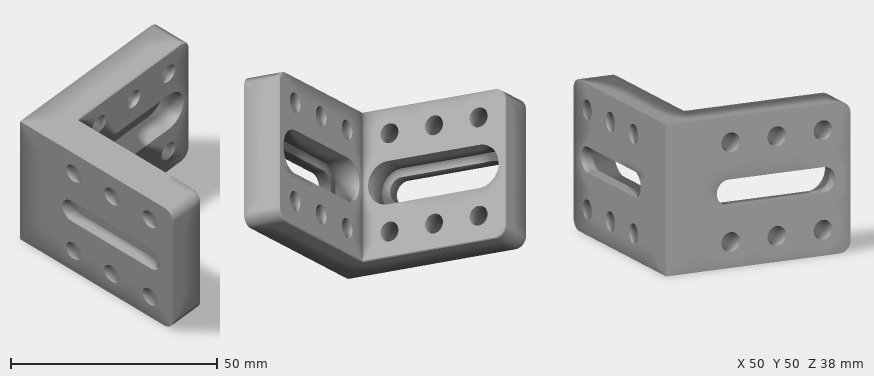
import cadquery as cq

leg_length = 50.0
height = 38.0
thickness = 10.0
corner_radius = 3.0
inner_edge_chamfer = 0.25

hole_diameter = 5.0
hole_pitch = 12.5
row_spacing = 25.0
hole_pattern_center = 30.0

slot_center = 29.8
slot_length = 32.1
slot_width = 6.5
recess_width = 11.0
recess_length = slot_length + recess_width - slot_width
slot_lip = 3.3


def make_leg_blank():
    """Leg along X, outer face on Y = 0, rounded at its free end."""
    plate = cq.Workplane("XY").box(leg_length, thickness, height, centered=(False, False, True))
    return plate.edges("|Y and >X").fillet(corner_radius)


def make_leg_cutters():
    """Holes, slot and slot recess of the leg along X."""
    holes = (
        cq.Workplane("XZ", origin=(hole_pattern_center, 0, 0))
        .rarray(hole_pitch, row_spacing, 3, 2)
        .circle(hole_diameter / 2)
        .extrude(-thickness)
    )
    slot = (
        cq.Workplane("XZ", origin=(slot_center, 0, 0))
        .slot2D(slot_length, slot_width)
        .extrude(-thickness)
    )
    recess = (
        cq.Workplane("XZ", origin=(slot_center, slot_lip, 0))
        .slot2D(recess_length, recess_width)
        .extrude(slot_lip - thickness)
    )
    return holes.union(slot).union(recess)


def other_leg(shape):
    """Reflect across the plane X = Y: a quarter turn followed by a mirror in X."""
    return shape.rotate((0, 0, 0), (0, 0, 1), 90).mirror("YZ")


leg = make_leg_blank()
body = leg.union(other_leg(leg))

margin = 0.5
inner_corner = cq.selectors.BoxSelector(
    (thickness - margin, thickness - margin, -height),
    (thickness + margin, thickness + margin, height),
)
inner_faces = cq.selectors.BoxSelector(
    (thickness - margin, thickness - margin, -height),
    (leg_length + margin, leg_length + margin, height),
)
body = body.edges(inner_faces - inner_corner).chamfer(inner_edge_chamfer)

cutters = make_leg_cutters()
result = body.cut(cutters).cut(other_leg(cutters))